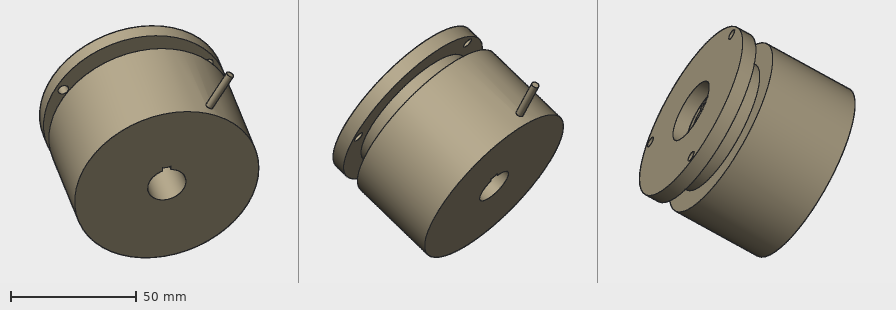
import cadquery as cq
import math

body_radius = 38.1
body_length = 53.35
flange_thickness = 6.25
groove_width = 8.0
groove_radius = 28.5

recess_radius = 13.4
recess_depth = flange_thickness
hub_radius = 11.1
hub_protrusion = 0.6
bore_radius = 7.9
keyway_width = 3.5
keyway_top = 9.3

hole_count = 3
hole_radius = 2.2
hole_circle_radius = 34.5
first_hole_angle = -90

pin_radius = 1.6
pin_x = 48.05
pin_tilt = 30
pin_tip_distance = 55.25
pin_root_distance = body_radius - 4.3


def cylinder(radius, start, length):
    """Cylinder along the X axis, starting at x = start."""
    return cq.Workplane("YZ", origin=(start, 0, 0)).circle(radius).extrude(length)


def grooved_body():
    groove = cylinder(body_radius, flange_thickness, groove_width)
    core = cylinder(groove_radius, flange_thickness, groove_width)
    return cylinder(body_radius, 0, body_length).cut(groove).union(core)


def recess_around_hub():
    hub_end = cylinder(hub_radius, recess_depth - hub_protrusion, hub_protrusion)
    return cylinder(recess_radius, 0, recess_depth).cut(hub_end)


def keyed_bore():
    keyway = cq.Workplane("XY").box(
        body_length, keyway_width, keyway_top, centered=(False, True, False)
    )
    return cylinder(bore_radius, 0, body_length).union(keyway)


def flange_holes():
    return (
        cq.Workplane("YZ")
        .polarArray(hole_circle_radius, first_hole_angle, 360, hole_count)
        .circle(hole_radius)
        .extrude(flange_thickness)
    )


def radial_pin():
    tilt = math.radians(pin_tilt)
    direction = cq.Vector(0, math.sin(tilt), math.cos(tilt))
    root = cq.Vector(pin_x, 0, 0) + direction * pin_root_distance
    length = pin_tip_distance - pin_root_distance
    return cq.Workplane(cq.Solid.makeCylinder(pin_radius, length, root, direction))


result = grooved_body().cut(recess_around_hub()).cut(keyed_bore())
result = result.cut(flange_holes()).union(radial_pin())